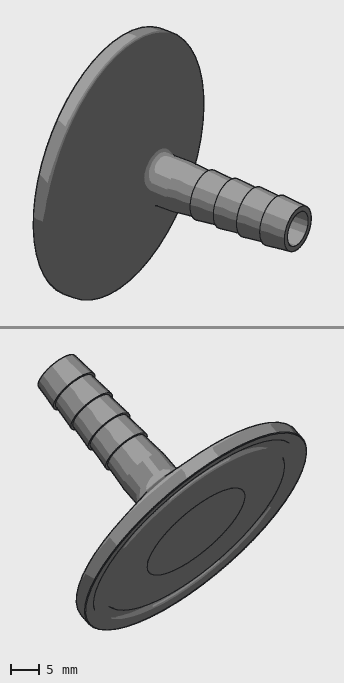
import cadquery as cq
import math

flange_radius = 25.25
face_chamfer = 0.15
rim_corner_x = 2.25
rim_round = 0.75
back_angle = 20.0
neck_fillet = 1.85

neck_radius = 4.75
barb_root_radius = 4.3
barb_pitch = 5.0
barb_count = 5
overall_length = 40.0
barb_start_x = overall_length - barb_count * barb_pitch

bore_radius = 3.3
inlet_radius = 11.1
inlet_depth = 8.1

groove_radius = 21.7
groove_half_width = 2.0
groove_depth = 1.6
groove_lip_round = 0.85
groove_wall_angle = 70.0


def polar(center, radius, degrees):
    """Point on a circle in the (x, radius) half plane; zero degrees points along +X."""
    angle = math.radians(degrees)
    return (center[0] + radius * math.cos(angle), center[1] + radius * math.sin(angle))


def revolve_about_x(profile):
    return profile.close().revolve(360, (0, 0, 0), (1, 0, 0))


def make_body():
    rim_center = (rim_corner_x, flange_radius - rim_round)
    rim_end = polar(rim_center, rim_round, back_angle)
    fillet_center_radius = neck_radius + neck_fillet
    fillet_start_radius = fillet_center_radius - neck_fillet * math.sin(math.radians(back_angle))
    fillet_start_x = rim_end[0] + (rim_end[1] - fillet_start_radius) * math.tan(math.radians(back_angle))
    fillet_center = (
        fillet_start_x + neck_fillet * math.cos(math.radians(back_angle)),
        fillet_center_radius,
    )
    profile = (
        cq.Workplane("XZ")
        .lineTo(0, flange_radius - face_chamfer)
        .lineTo(face_chamfer, flange_radius)
        .lineTo(rim_corner_x, flange_radius)
        .threePointArc(polar(rim_center, rim_round, (90 + back_angle) / 2), rim_end)
        .lineTo(fillet_start_x, fillet_start_radius)
        .threePointArc(
            polar(fillet_center, neck_fillet, 180 + (90 + back_angle) / 2),
            (fillet_center[0], neck_radius),
        )
        .lineTo(barb_start_x, neck_radius)
    )
    for barb in range(barb_count):
        barb_end_x = barb_start_x + (barb + 1) * barb_pitch
        profile = profile.lineTo(barb_end_x, barb_root_radius)
        if barb < barb_count - 1:
            profile = profile.lineTo(barb_end_x, neck_radius)
    return revolve_about_x(profile.lineTo(overall_length, 0))


def make_bore():
    return revolve_about_x(
        cq.Workplane("XZ")
        .lineTo(0, inlet_radius)
        .lineTo(inlet_depth, bore_radius)
        .lineTo(overall_length, bore_radius)
        .lineTo(overall_length, 0)
    )


def make_gasket_groove():
    wall = math.radians(groove_wall_angle)
    lip_width = groove_lip_round * math.sin(wall)
    lip_depth = groove_lip_round * (1 - math.cos(wall))
    inner_half_width = groove_half_width - lip_width
    inner_depth = groove_depth - lip_depth
    floor_round = (inner_half_width * math.tan(wall) - inner_depth) * math.cos(wall) / (1 - math.cos(wall))
    floor_half_width = floor_round * math.sin(wall)
    floor_edge_x = groove_depth - floor_round * (1 - math.cos(wall))

    outer_lip_center = (groove_lip_round, groove_radius + groove_half_width)
    inner_lip_center = (groove_lip_round, groove_radius - groove_half_width)
    half_turn = groove_wall_angle / 2
    return revolve_about_x(
        cq.Workplane("XZ")
        .moveTo(0, outer_lip_center[1])
        .threePointArc(
            polar(outer_lip_center, groove_lip_round, 180 + half_turn),
            polar(outer_lip_center, groove_lip_round, 180 + groove_wall_angle),
        )
        .lineTo(floor_edge_x, groove_radius + floor_half_width)
        .threePointArc((groove_depth, groove_radius), (floor_edge_x, groove_radius - floor_half_width))
        .lineTo(*polar(inner_lip_center, groove_lip_round, 180 - groove_wall_angle))
        .threePointArc(
            polar(inner_lip_center, groove_lip_round, 180 - half_turn),
            (0, inner_lip_center[1]),
        )
    )


result = make_body().cut(make_bore()).cut(make_gasket_groove())